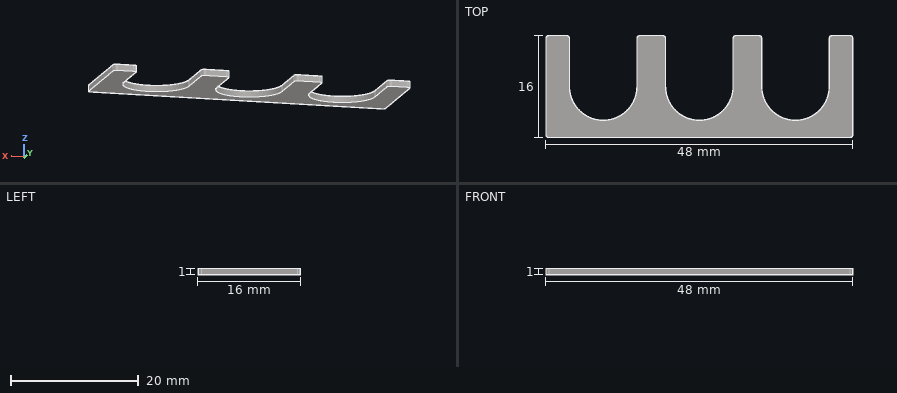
import cadquery as cq

length = 48.0
depth = 16.0
thickness = 1.0
corner_radius = 0.5

slot_count = 3
slot_width = 10.5
slot_pitch = 15.0
slot_radius = slot_width / 2
slot_arc_center_y = 0.0


def make_slot(center_x):
    """Cutter for one slot, running from its round bottom out past the +Y edge."""
    straight_length = depth / 2 - slot_arc_center_y
    straight = (
        cq.Workplane("XY")
        .center(center_x, slot_arc_center_y + straight_length / 2)
        .rect(slot_width, straight_length)
        .extrude(thickness)
    )
    round_bottom = (
        cq.Workplane("XY")
        .center(center_x, slot_arc_center_y)
        .circle(slot_radius)
        .extrude(thickness)
    )
    return straight.union(round_bottom)


plate = cq.Workplane("XY").box(length, depth, thickness, centered=(True, True, False))

for index in range(slot_count):
    slot_x = (index - (slot_count - 1) / 2) * slot_pitch
    plate = plate.cut(make_slot(slot_x))

front_corners = plate.faces("<Y").edges("|Z")
finger_tips = plate.faces(">Y").edges("|Z")
result = front_corners.add(finger_tips).fillet(corner_radius)